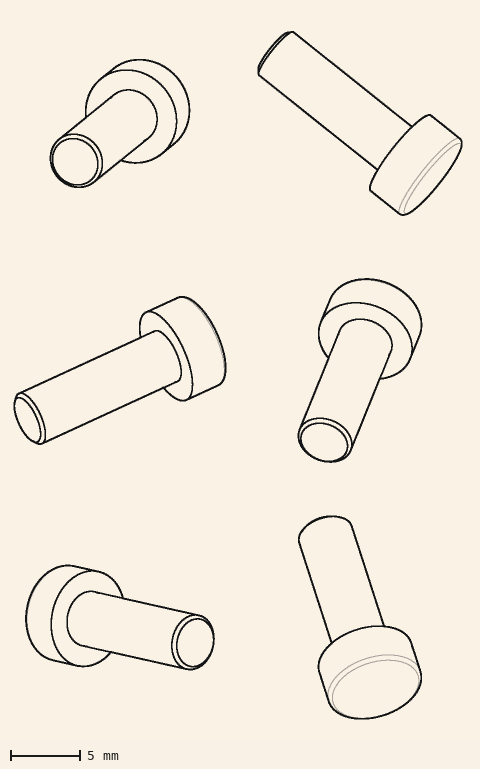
import cadquery as cq

total_length = 15.0
head_diameter = 7.0
head_height = 3.0
head_edge_radius = 0.27
shank_diameter = 4.0
tip_chamfer = 0.25

shank_length = total_length - head_height


def make_head():
    """Plain round head with its outer top edge rounded."""
    head = cq.Workplane("XZ").circle(head_diameter / 2).extrude(-head_height)
    return head.faces(">Y").edges().fillet(head_edge_radius)


def make_shank():
    """Smooth cylindrical shank with a chamfered tip."""
    shank = cq.Workplane("XZ").circle(shank_diameter / 2).extrude(shank_length)
    return shank.faces("<Y").edges().chamfer(tip_chamfer)


result = make_head().union(make_shank())